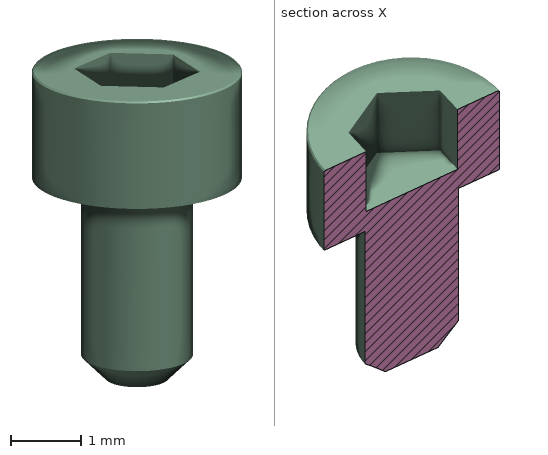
import cadquery as cq
import math

total_length = 4.6
head_diameter = 3.0
head_height = 1.6
head_edge_break = 0.025
shank_diameter = 1.6
tip_chamfer = 0.35
socket_across_flats = 1.56
socket_depth = 1.2

head_radius = head_diameter / 2
shank_radius = shank_diameter / 2
shank_length = total_length - head_height


def make_head():
    head = cq.Workplane("XY").circle(head_radius).extrude(head_height)
    return head.faces(">Z").edges().chamfer(head_edge_break)


def make_shank():
    """Full-length shank with a conical tip."""
    shank = cq.Workplane("XY").circle(shank_radius).extrude(-shank_length)
    return shank.faces("<Z").edges().chamfer(tip_chamfer)


def make_socket():
    """Hexagonal recess with two corners on the X axis."""
    across_corners = socket_across_flats / math.cos(math.pi / 6)
    top = cq.Workplane("XY").workplane(offset=head_height)
    return top.polygon(6, across_corners).extrude(-socket_depth)


result = make_head().union(make_shank()).cut(make_socket())